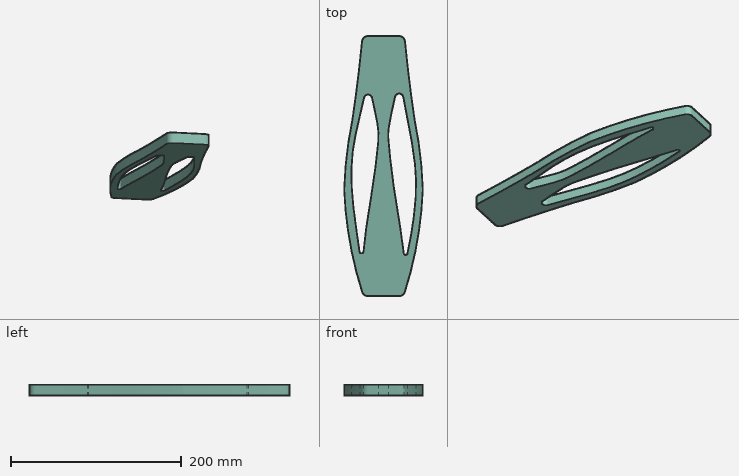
import cadquery as cq

length = 304.8
width = 92.5
thickness = 12.8
corner_radius = 7.3

half_length = length / 2
half_width = width / 2
top_half_width = 24.7
bottom_half_width = 23.5
widest_y = -27.5
neck_half_width = 36.5
neck_y = 54.0

upper_side_mid = (30.0, 103.5)
bulge_side_mid = (43.3, 12.2)
lower_side_mid = (39.5, -88.5)


def mirrored(point):
    """Reflect a point across the plate's long centre line."""
    return (-point[0], point[1])


def make_plate():
    """Plate with hollow upper sides, bulging lower sides and rounded corners."""
    top_corner = (top_half_width, half_length)
    neck = (neck_half_width, neck_y)
    widest = (half_width, widest_y)
    bottom_corner = (bottom_half_width, -half_length)
    outline = (
        cq.Workplane("XY", origin=(0, 0, -thickness / 2))
        .moveTo(*top_corner)
        .threePointArc(upper_side_mid, neck)
        .threePointArc(bulge_side_mid, widest)
        .threePointArc(lower_side_mid, bottom_corner)
        .lineTo(*mirrored(bottom_corner))
        .threePointArc(mirrored(lower_side_mid), mirrored(widest))
        .threePointArc(mirrored(bulge_side_mid), mirrored(neck))
        .threePointArc(mirrored(upper_side_mid), mirrored(top_corner))
        .close()
    )
    plate = outline.extrude(thickness)
    end_corners = plate.faces("<Y or >Y").edges("|Z")
    return end_corners.fillet(corner_radius)


def make_window(outer_side, lower_tip, inner_side, upper_tip):
    """Through window: two smooth long sides joined by a round tip at each end.

    The outer side runs downwards and the inner side runs upwards.
    """
    return (
        cq.Workplane("XY", origin=(0, 0, -thickness / 2))
        .moveTo(*outer_side[0])
        .spline(outer_side[1:], includeCurrent=True)
        .threePointArc(lower_tip, inner_side[0])
        .spline(inner_side[1:], includeCurrent=True)
        .threePointArc(upper_tip, outer_side[0])
        .close()
        .extrude(thickness)
    )


left_window = make_window(
    outer_side=[(-23.0, 79.2), (-29.5, 50.3), (-35.5, 21.0), (-37.5, -11.0), (-35.5, -45.7), (-28.0, -99.7)],
    lower_tip=(-25.5, -102.0),
    inner_side=[(-23.5, -99.7), (-12.8, -24.7), (-7.0, 21.0), (-6.0, 39.5), (-8.2, 55.0), (-13.5, 79.2)],
    upper_tip=(-18.3, 83.5),
)
right_window = make_window(
    outer_side=[(23.2, 80.2), (28.5, 51.8), (34.0, 21.3), (37.8, -12.2), (36.5, -48.8), (28.0, -101.5)],
    lower_tip=(26.0, -104.0),
    inner_side=[(23.8, -101.5), (12.2, -24.7), (6.7, 21.0), (5.8, 39.5), (8.0, 55.0), (13.5, 80.2)],
    upper_tip=(18.3, 84.7),
)

result = make_plate().cut(left_window).cut(right_window)